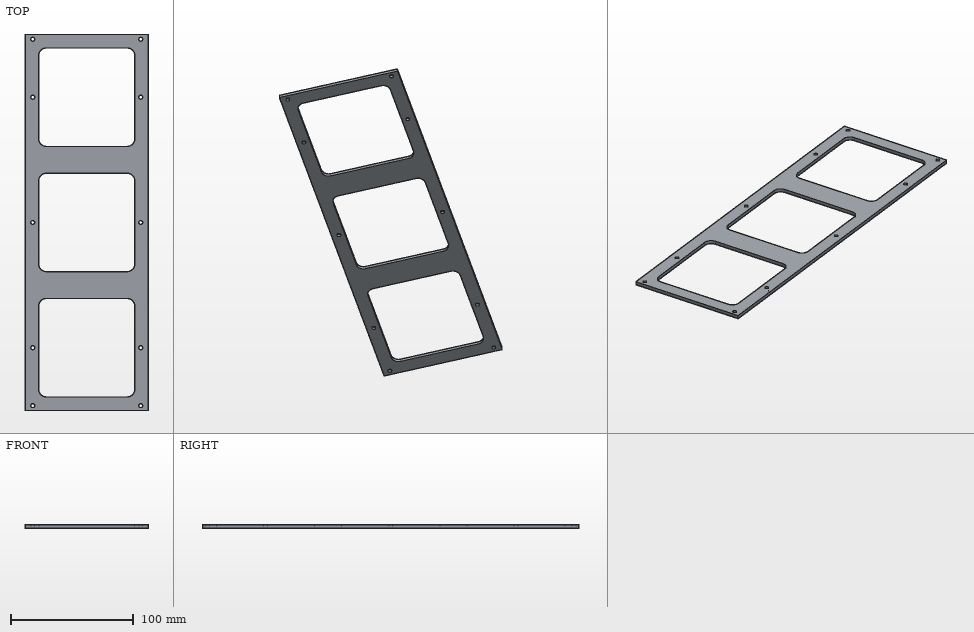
import cadquery as cq

length = 306.0
width = 100.0
thickness = 3.0

window_width = 78.0
window_length = 80.0
window_pitch = 102.0
window_corner_radius = 6.0

hole_diameter = 3.0
hole_edge_distance = 6.0
end_hole_edge_distance = 4.0

window_centers = [(0, row * window_pitch) for row in (-1, 0, 1)]

hole_x = width / 2 - hole_edge_distance
end_hole_y = length / 2 - end_hole_edge_distance
hole_rows = [-end_hole_y, -window_pitch, 0, window_pitch, end_hole_y]
hole_centers = [(x, y) for x in (-hole_x, hole_x) for y in hole_rows]

plate = cq.Workplane("XY").box(width, length, thickness)

windows = (
    cq.Workplane("XY")
    .pushPoints(window_centers)
    .box(window_width, window_length, thickness)
    .edges("|Z")
    .fillet(window_corner_radius)
)

result = (
    plate.cut(windows)
    .faces(">Z")
    .workplane()
    .pushPoints(hole_centers)
    .hole(hole_diameter)
)